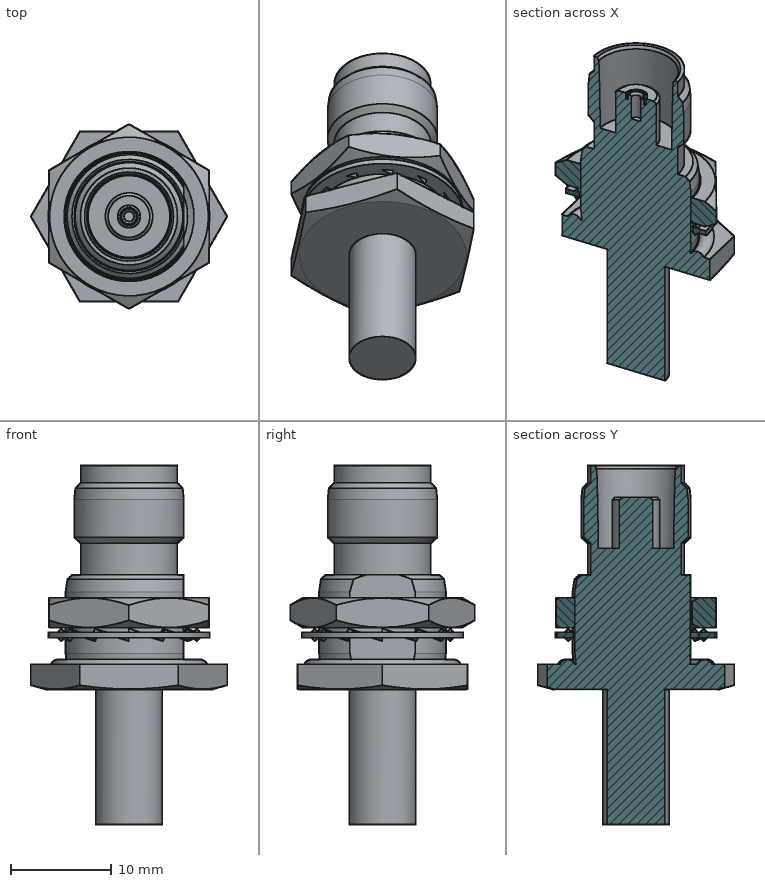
import cadquery as cq
import math


TOTAL_HEIGHT = 35.9
FLANGE_BOTTOM = 13.5
FLANGE_TOP = 16.05
RELIEF_TOP = 17.12
THREAD_TAPER_BOTTOM = 23.3
THREAD_CHAMFER_BOTTOM = 24.52
THREAD_TOP = 24.95
COLLAR_BOTTOM = 28.1
COLLAR_LOWER_EDGE = 28.72
COLLAR_TAPER_BOTTOM = 32.53
COLLAR_UPPER_EDGE = 33.6
COLLAR_TOP = 34.18

TUBE_RADIUS = 3.35
RELIEF_RADIUS = 6.25
THREAD_RADIUS = 6.35
THREAD_TAPER_RADIUS = 6.17
THREAD_TOP_RADIUS = 5.7
NECK_RADIUS = 4.85
COLLAR_RADIUS = 5.5
COLLAR_UPPER_RADIUS = 5.4
THREAD_FLAT_X = 5.45

FLANGE_ACROSS_FLATS = 17.0
FLANGE_CHAMFER_RADIUS = 8.33
FLANGE_CHAMFER_HEIGHT = 0.43

BEAD_RADIUS = 0.83
BEAD_HEIGHT = 0.45

SOCKET_MOUTH_RADIUS = 4.45
SOCKET_LEAD_RADIUS = 4.25
SOCKET_FLOOR_RADIUS = 4.1
SOCKET_LEAD_DEPTH = 0.32
SOCKET_DEPTH = 8.25

INSULATOR_TOP = 32.75
INSULATOR_RADIUS = 2.37
INSULATOR_CHAMFER = 0.3
CONTACT_HOLE_RADIUS = 0.5
CONTACT_LEAD = 0.25
CONTACT_HOLE_DEPTH = 2.87
CONTACT_RADIUS = 1.15
CONTACT_CHAMFER = 0.25
GROOVE_COUNT = 4
GROOVE_WIDTH = 0.25
GROOVE_DEPTH = 0.72

NUT_ACROSS_FLATS = 16.0
NUT_BOTTOM = 19.67
NUT_TOP = 22.7
NUT_CHAMFER_RADIUS = 7.95
NUT_CHAMFER_HEIGHT = 0.75
NUT_BORE_RADIUS = 5.85
NUT_BORE_MOUTH_RADIUS = 6.5
NUT_BORE_CHAMFER_HEIGHT = 0.35

WASHER_BOTTOM = 18.67
WASHER_TOP = 19.25
WASHER_RADIUS = 8.08
WASHER_BORE_RADIUS = 6.45
TOOTH_COUNT = 12
TOOTH_WIDTH = 0.65
TOOTH_HEIGHT = 0.34
TOOTH_LENGTH = 1.08


def revolve_profile(points):
    """Turn a closed (radius, height) outline around the Z axis."""
    return cq.Workplane("XZ").polyline(points).close().revolve(360, (0, 0, 0), (0, 1, 0))


def hex_prism(across_flats, bottom, top, turn):
    """Hexagonal prism on the Z axis, with corners on the X axis before the turn."""
    across_corners = across_flats / math.cos(math.radians(30))
    prism = cq.Workplane("XY").workplane(offset=bottom).polygon(6, across_corners).extrude(top - bottom)
    return prism.rotate((0, 0, 0), (0, 0, 1), turn)


def make_turned_shell():
    """Tube, thread, neck and coupling collar as one turned shape."""
    return revolve_profile([
        (0, 0),
        (TUBE_RADIUS, 0),
        (TUBE_RADIUS, FLANGE_TOP),
        (RELIEF_RADIUS, FLANGE_TOP),
        (THREAD_RADIUS, RELIEF_TOP),
        (THREAD_RADIUS, THREAD_TAPER_BOTTOM),
        (THREAD_TAPER_RADIUS, THREAD_CHAMFER_BOTTOM),
        (THREAD_TOP_RADIUS, THREAD_TOP),
        (NECK_RADIUS, THREAD_TOP),
        (NECK_RADIUS, COLLAR_BOTTOM),
        (COLLAR_RADIUS, COLLAR_LOWER_EDGE),
        (COLLAR_RADIUS, COLLAR_TAPER_BOTTOM),
        (COLLAR_UPPER_RADIUS, COLLAR_UPPER_EDGE),
        (NECK_RADIUS, COLLAR_TOP),
        (NECK_RADIUS, TOTAL_HEIGHT),
        (0, TOTAL_HEIGHT),
    ])


def make_thread_flat_cutter():
    """Block outside the flat on the +X side of the thread."""
    depth = THREAD_RADIUS - THREAD_FLAT_X
    height = THREAD_TOP - FLANGE_TOP
    block = cq.Workplane("XY").box(depth, 2 * THREAD_RADIUS, height, centered=(False, True, False))
    return block.translate((THREAD_FLAT_X, 0, FLANGE_TOP))


def make_flange():
    """Hexagonal flange with its lower corners turned off."""
    hexagon = hex_prism(FLANGE_ACROSS_FLATS, FLANGE_BOTTOM, FLANGE_TOP, 0)
    corner_radius = FLANGE_ACROSS_FLATS / 2 / math.cos(math.radians(30))
    envelope = revolve_profile([
        (0, FLANGE_BOTTOM),
        (FLANGE_CHAMFER_RADIUS, FLANGE_BOTTOM),
        (corner_radius, FLANGE_BOTTOM + FLANGE_CHAMFER_HEIGHT),
        (corner_radius, FLANGE_TOP),
        (0, FLANGE_TOP),
    ])
    return hexagon.intersect(envelope)


def make_bead():
    """Round sealing ring that touches the foot of the thread relief."""
    centre_radius = RELIEF_RADIUS + BEAD_RADIUS
    centre_height = FLANGE_TOP + BEAD_HEIGHT - BEAD_RADIUS
    return cq.Workplane("XY").add(
        cq.Solid.makeTorus(centre_radius, BEAD_RADIUS, cq.Vector(0, 0, centre_height))
    )


def make_socket():
    """Slightly tapered cavity with a lead-in at its mouth."""
    floor = TOTAL_HEIGHT - SOCKET_DEPTH
    return revolve_profile([
        (0, floor),
        (SOCKET_FLOOR_RADIUS, floor),
        (SOCKET_LEAD_RADIUS, TOTAL_HEIGHT - SOCKET_LEAD_DEPTH),
        (SOCKET_MOUTH_RADIUS, TOTAL_HEIGHT),
        (0, TOTAL_HEIGHT),
    ])


def make_insulator():
    """Insulator post with the hollow centre contact flush in its top, grooved around its rim."""
    floor = TOTAL_HEIGHT - SOCKET_DEPTH
    hole_floor = INSULATOR_TOP - CONTACT_HOLE_DEPTH
    post = revolve_profile([
        (0, floor),
        (INSULATOR_RADIUS, floor),
        (INSULATOR_RADIUS, INSULATOR_TOP - INSULATOR_CHAMFER),
        (INSULATOR_RADIUS - INSULATOR_CHAMFER, INSULATOR_TOP),
        (CONTACT_RADIUS, INSULATOR_TOP),
        (CONTACT_RADIUS, INSULATOR_TOP - CONTACT_CHAMFER),
        (CONTACT_RADIUS - CONTACT_CHAMFER, INSULATOR_TOP),
        (CONTACT_HOLE_RADIUS + CONTACT_LEAD, INSULATOR_TOP),
        (CONTACT_HOLE_RADIUS, INSULATOR_TOP - CONTACT_LEAD),
        (CONTACT_HOLE_RADIUS, hole_floor),
        (0, hole_floor),
    ])
    grooves = (
        cq.Workplane("XY")
        .workplane(offset=INSULATOR_TOP - GROOVE_DEPTH)
        .polarArray(CONTACT_RADIUS - CONTACT_CHAMFER / 2, 0, 360, GROOVE_COUNT)
        .rect(CONTACT_CHAMFER, GROOVE_WIDTH)
        .extrude(GROOVE_DEPTH)
    )
    return post.cut(grooves)


def make_jack_body():
    shell = make_turned_shell().cut(make_thread_flat_cutter())
    flanged = shell.union(make_flange()).union(make_bead())
    return flanged.cut(make_socket()).union(make_insulator())


def make_nut(jack_body):
    """Double-chamfered nut whose bore fits the thread and its flat."""
    hexagon = hex_prism(NUT_ACROSS_FLATS, NUT_BOTTOM, NUT_TOP, 30)
    corner_radius = NUT_ACROSS_FLATS / 2 / math.cos(math.radians(30))
    envelope = revolve_profile([
        (NUT_BORE_MOUTH_RADIUS, NUT_BOTTOM),
        (NUT_CHAMFER_RADIUS, NUT_BOTTOM),
        (corner_radius, NUT_BOTTOM + NUT_CHAMFER_HEIGHT),
        (corner_radius, NUT_TOP - NUT_CHAMFER_HEIGHT),
        (NUT_CHAMFER_RADIUS, NUT_TOP),
        (NUT_BORE_MOUTH_RADIUS, NUT_TOP),
        (NUT_BORE_RADIUS, NUT_TOP - NUT_BORE_CHAMFER_HEIGHT),
        (NUT_BORE_RADIUS, NUT_BOTTOM + NUT_BORE_CHAMFER_HEIGHT),
    ])
    return hexagon.intersect(envelope).cut(jack_body)


def make_washer_tooth():
    """Bent edges at the slit on the +X side: up on the +Y side of it, down on the -Y side."""
    return (
        cq.Workplane("YZ")
        .polyline([
            (0, WASHER_BOTTOM - TOOTH_HEIGHT),
            (0, WASHER_BOTTOM),
            (TOOTH_LENGTH, WASHER_BOTTOM),
            (TOOTH_LENGTH, WASHER_TOP),
            (0, WASHER_TOP + TOOTH_HEIGHT),
            (0, WASHER_TOP),
            (-TOOTH_LENGTH, WASHER_TOP),
            (-TOOTH_LENGTH, WASHER_BOTTOM),
        ])
        .close()
        .extrude(WASHER_RADIUS)
    )


def make_lock_washer():
    """Flat ring with bent teeth around its bore."""
    ring = revolve_profile([
        (WASHER_BORE_RADIUS, WASHER_BOTTOM),
        (WASHER_RADIUS, WASHER_BOTTOM),
        (WASHER_RADIUS, WASHER_TOP),
        (WASHER_BORE_RADIUS, WASHER_TOP),
    ])
    ridge_radius = WASHER_BORE_RADIUS + TOOTH_WIDTH / 2
    ridged_ring = revolve_profile([
        (WASHER_BORE_RADIUS, WASHER_BOTTOM),
        (ridge_radius, WASHER_BOTTOM - TOOTH_HEIGHT),
        (WASHER_BORE_RADIUS + TOOTH_WIDTH, WASHER_BOTTOM),
        (WASHER_BORE_RADIUS + TOOTH_WIDTH, WASHER_TOP),
        (ridge_radius, WASHER_TOP + TOOTH_HEIGHT),
        (WASHER_BORE_RADIUS, WASHER_TOP),
    ])
    tooth = ridged_ring.intersect(make_washer_tooth())
    for index in range(TOOTH_COUNT):
        ring = ring.union(tooth.rotate((0, 0, 0), (0, 0, 1), index * 360 / TOOTH_COUNT))
    return ring


jack_body = make_jack_body()
nut = make_nut(jack_body)
lock_washer = make_lock_washer()

result = cq.Compound.makeCompound([jack_body.solids().val(), nut.solids().val(), lock_washer.solids().val()])